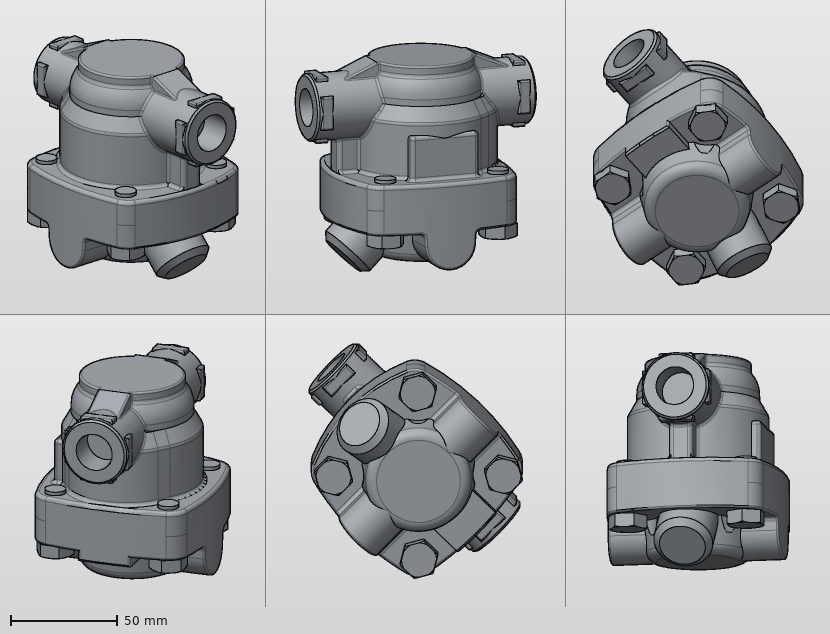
import cadquery as cq
import math


TOLERANCE = 0.1

PIPE_RADIUS = 16.0
PIPE_LENGTH = 110.0
PIPE_CENTER_X = 2.5
PIPE_CHAMFER = 1.0
BORE_RADIUS = 9.0
BORE_DEPTH = 15.5
PIPE_LEFT = PIPE_CENTER_X - PIPE_LENGTH / 2
PIPE_RIGHT = PIPE_CENTER_X + PIPE_LENGTH / 2

PAD_LENGTH = 6.0
PAD_WIDTH = 16.0
PAD_THICKNESS = 5.0
PAD_LEFT_X = -46.5
PAD_RIGHT_X = 52.5
PAD_FILLET = 0.8

TOP_Z = 21.0
CAP_RADIUS = 25.0
CAP_BOTTOM_Z = 17.0
CAP_FILLET = 1.0
BULGE_RADIUS = 29.0
BULGE_TOP_RADIUS = 25.7
BULGE_TOP_Z = 15.0
BULGE_EQUATOR_Z = 5.8

BARREL_RADIUS = 33.4
BARREL_NOSE_X = -36.6
NOSE_FLAT_ANGLE = 52.0
SHOULDER_Z = -5.0
SHOULDER_ANGLE = 30.0
SHOULDER_FILLET = 3.0
PIPE_BLEND = 1.5

RAMP_WIDTH = 16.4
RAMP_ANGLE = 23.0
RAMP_LENGTH = 22.0
RAMP_FILLET = 1.0
RAMP_CORNER_FILLET = 0.8

FLANGE_TOP_Z = -32.0
JOINT_Z = -44.0
COVER_BOTTOM_Z = -56.2
FLANGE_HALF_WIDTH = 41.5
FLANGE_LEFT_X = -39.5
FLANGE_RIGHT_X = 45.3
FLANGE_SIDE_ARC = 125.0
FLANGE_LEFT_ARC = 160.0
FLANGE_RIGHT_ARC = 80.0
FLANGE_CORNER = 10.0
FLANGE_TOP_FILLET = 2.0
BASE_FILLET = 1.8
FOOT_MARGIN = 1.9
FOOT_DEPTH = 2.0
BASE_HEIGHT = 5.0

PLATE_WIDTH = 34.0
PLATE_TOP_Z = -10.3
PLATE_FILLET = 1.9
RIB_WIDTH = 11.2
RIB_TOP_Z = -12.0
RIB_END_X = 43.6
RIB_CORNER_FILLET = 2.2

BOLT_CIRCLE_RADIUS = 40.0
BOLT_COUNT = 4
BOLT_START_ANGLE = 45.0
STUD_RADIUS = 5.0
STUD_TOP_Z = -30.3
HEX_FLATS = 16.0
HEX_HEIGHT = 6.4
HEX_CHAMFER = 0.5
BOLT_CLEARANCE_RADIUS = 14.3
BOLT_CLEARANCE_DEPTH = 7.5

BOWL_BOTTOM_Z = -74.2
BOWL_TOP_RADIUS = 27.0
BOWL_DRAFT = 9.0
BOWL_FILLET = 5.2

LOBE_RADIUS = 12.6
LOBE_DRAFT = 4.0
LOBE_ROOT_FILLET = 2.0
TAB_WIDTH = 26.0
TAB_BOTTOM_Z = -61.0
COVER_EDGE_FILLET = 1.0

DRAIN_RADIUS = 14.0
DRAIN_CHAMFER = 3.1
DRAIN_ANGLE = 45.0
DRAIN_END_X = 38.9
DRAIN_END_Z = -73.07
DRAIN_LENGTH = 38.0


def flange_corner(apex_x, arc_radius):
    """Crossing of the +Y side arc with an end arc that bulges to apex_x on the X axis."""
    end_center_x = apex_x - math.copysign(arc_radius, apex_x)
    side_center_y = FLANGE_HALF_WIDTH - FLANGE_SIDE_ARC
    distance = math.hypot(end_center_x, side_center_y)
    along = (distance ** 2 + FLANGE_SIDE_ARC ** 2 - arc_radius ** 2) / (2 * distance)
    across = math.copysign(math.sqrt(FLANGE_SIDE_ARC ** 2 - along ** 2), apex_x)
    unit_x = end_center_x / distance
    unit_y = -side_center_y / distance
    return along * unit_x + across * unit_y, side_center_y + along * unit_y - across * unit_x


def flange_outline(z):
    """Closed outline of four bowed sides at height z."""
    left_x, left_y = flange_corner(FLANGE_LEFT_X, FLANGE_LEFT_ARC)
    right_x, right_y = flange_corner(FLANGE_RIGHT_X, FLANGE_RIGHT_ARC)
    return (
        cq.Workplane("XY", origin=(0, 0, z))
        .moveTo(left_x, left_y)
        .threePointArc((0, FLANGE_HALF_WIDTH), (right_x, right_y))
        .threePointArc((FLANGE_RIGHT_X, 0), (right_x, -right_y))
        .threePointArc((0, -FLANGE_HALF_WIDTH), (left_x, -left_y))
        .threePointArc((FLANGE_LEFT_X, 0), (left_x, left_y))
        .close()
    )


def flange_prism(bottom_z, top_z):
    """Flange-shaped block with rounded corners."""
    return flange_outline(bottom_z).extrude(top_z - bottom_z).edges("|Z").fillet(FLANGE_CORNER)


def barrel_outline(z):
    """Round wall on +X, tangent flats and a tighter round nose on -X."""
    lean = math.cos(math.radians(NOSE_FLAT_ANGLE))
    nose_radius = (BARREL_RADIUS / lean + BARREL_NOSE_X) / (1 / lean - 1)
    nose_center_x = BARREL_NOSE_X + nose_radius
    rise = math.sin(math.radians(NOSE_FLAT_ANGLE))
    wall_x, wall_y = -BARREL_RADIUS * lean, BARREL_RADIUS * rise
    nose_x, nose_y = nose_center_x - nose_radius * lean, nose_radius * rise
    return (
        cq.Workplane("XY", origin=(0, 0, z))
        .moveTo(wall_x, wall_y)
        .threePointArc((BARREL_RADIUS, 0), (wall_x, -wall_y))
        .lineTo(nose_x, -nose_y)
        .threePointArc((BARREL_NOSE_X, 0), (nose_x, nose_y))
        .close()
    )


def make_barrel():
    shoulder_height = (BARREL_RADIUS - BULGE_RADIUS) / math.tan(math.radians(SHOULDER_ANGLE))
    wall = barrel_outline(FLANGE_TOP_Z).extrude(SHOULDER_Z - FLANGE_TOP_Z)
    shoulder = barrel_outline(SHOULDER_Z).extrude(shoulder_height, taper=SHOULDER_ANGLE)
    barrel = wall.union(shoulder)
    shoulder_level = cq.selectors.BoxSelector(
        (-PIPE_LENGTH, -PIPE_LENGTH, SHOULDER_Z - TOLERANCE),
        (PIPE_LENGTH, PIPE_LENGTH, SHOULDER_Z + TOLERANCE))
    return barrel.edges(shoulder_level).fillet(SHOULDER_FILLET)


def make_dome():
    """Turned cap and bulge standing on the barrel shoulder."""
    step = BULGE_TOP_RADIUS - CAP_RADIUS
    drop = CAP_BOTTOM_Z - BULGE_TOP_Z
    neck_radius = (drop ** 2 + step ** 2) / (2 * step)
    neck_half_angle = math.asin(drop / neck_radius) / 2
    neck_mid = (
        CAP_RADIUS + neck_radius * (1 - math.cos(neck_half_angle)),
        CAP_BOTTOM_Z - neck_radius * math.sin(neck_half_angle),
    )
    rise = BULGE_TOP_Z - BULGE_EQUATOR_Z
    inset = BULGE_RADIUS - BULGE_TOP_RADIUS
    bulge_arc = (rise ** 2 + inset ** 2) / (2 * inset)
    bulge_half_angle = math.asin(rise / bulge_arc) / 2
    bulge_mid = (
        BULGE_RADIUS - bulge_arc * (1 - math.cos(bulge_half_angle)),
        BULGE_EQUATOR_Z + bulge_arc * math.sin(bulge_half_angle),
    )
    dome = (
        cq.Workplane("XZ")
        .moveTo(0, TOP_Z)
        .lineTo(CAP_RADIUS, TOP_Z)
        .lineTo(CAP_RADIUS, CAP_BOTTOM_Z)
        .threePointArc(neck_mid, (BULGE_TOP_RADIUS, BULGE_TOP_Z))
        .threePointArc(bulge_mid, (BULGE_RADIUS, BULGE_EQUATOR_Z))
        .lineTo(BULGE_RADIUS, SHOULDER_Z)
        .lineTo(0, SHOULDER_Z)
        .close()
        .revolve(360, (0, 0, 0), (0, 1, 0))
    )
    return dome.faces(">Z").edges().fillet(CAP_FILLET)


def make_pipe():
    return (
        cq.Workplane("YZ", origin=(PIPE_LEFT, 0, 0))
        .circle(PIPE_RADIUS)
        .extrude(PIPE_LENGTH)
        .faces("<X or >X")
        .chamfer(PIPE_CHAMFER)
    )


def make_pads():
    """Four flat pads tangent to the pipe at each end."""
    pad = (
        cq.Workplane("XY")
        .box(PAD_LENGTH, PAD_WIDTH, PAD_THICKNESS)
        .faces(">Z")
        .edges()
        .fillet(PAD_FILLET)
        .translate((0, 0, PIPE_RADIUS - PAD_THICKNESS / 2))
    )
    pads = cq.Workplane("XY")
    for center_x in (PAD_LEFT_X, PAD_RIGHT_X):
        for turn in range(4):
            placed = pad.rotate((0, 0, 0), (1, 0, 0), 90 * turn).translate((center_x, 0, 0))
            pads = pads.add(placed)
    return pads.combine()


def make_ramps():
    slope = cq.Vector(math.cos(math.radians(RAMP_ANGLE)), 0, -math.sin(math.radians(RAMP_ANGLE)))
    drop = RAMP_LENGTH * math.tan(math.radians(RAMP_ANGLE))
    ramp = (
        cq.Workplane("XZ")
        .moveTo(0, TOP_Z)
        .lineTo(CAP_RADIUS, TOP_Z)
        .lineTo(CAP_RADIUS + RAMP_LENGTH, TOP_Z - drop)
        .lineTo(0, TOP_Z - drop)
        .close()
        .extrude(RAMP_WIDTH / 2, both=True)
    )
    long_edges = cq.selectors.ParallelDirSelector(slope) + cq.selectors.StringSyntaxSelector("|X and >Z")
    ramp = ramp.edges(long_edges).fillet(RAMP_FILLET)
    return ramp.union(ramp.mirror("YZ"))


def make_flange():
    flange = flange_prism(JOINT_Z, FLANGE_TOP_Z)
    return flange.faces(">Z").edges().fillet(FLANGE_TOP_FILLET)


def make_foot_limit(flange):
    """Tall prism over the flat top of the flange, which the base fillets may not overhang."""
    flat_top = flange.faces(">Z").wires().toPending()
    return flat_top.extrude(TOP_Z - FLANGE_TOP_Z, combine=False).union(flange)


def with_base_fillet(wall, foot):
    """Wall standing on a slightly wider foot, with a concave fillet where they meet."""
    standing = wall.union(foot)
    level = cq.selectors.BoxSelector(
        (-PIPE_LENGTH, -PIPE_LENGTH, FLANGE_TOP_Z - TOLERANCE),
        (PIPE_LENGTH, PIPE_LENGTH, FLANGE_TOP_Z + TOLERANCE))
    rim = foot.faces(">Z").edges().vals()
    inner = [
        edge for edge in standing.edges(level).vals()
        if all((edge.Center() - outer.Center()).Length > TOLERANCE for outer in rim)
    ]
    return standing.newObject(inner).fillet(BASE_FILLET)


def box_foot(wall):
    """Foot under a box-shaped wall, wider by the margin on every side."""
    box = wall.val().BoundingBox()
    return (
        cq.Workplane("XY", origin=(box.center.x, box.center.y, FLANGE_TOP_Z - FOOT_DEPTH))
        .rect(box.xlen + 2 * FOOT_MARGIN, box.ylen + 2 * FOOT_MARGIN)
        .extrude(FOOT_DEPTH)
    )


def make_back_plate():
    half_width = PLATE_WIDTH / 2
    return (
        cq.Workplane("XY", origin=(-half_width, 0, FLANGE_TOP_Z))
        .box(PLATE_WIDTH, BARREL_RADIUS, PLATE_TOP_Z - FLANGE_TOP_Z, centered=False)
        .edges("(|Z and >Y) or >Z")
        .fillet(PLATE_FILLET)
    )


def make_outlet_rib():
    return (
        cq.Workplane("XY", origin=(0, -RIB_WIDTH / 2, FLANGE_TOP_Z))
        .box(RIB_END_X, RIB_WIDTH, RIB_TOP_Z - FLANGE_TOP_Z, centered=False)
        .edges(">X and |Z")
        .fillet(RIB_CORNER_FILLET)
    )


def make_bolt():
    """Stud along Z with a hexagonal head below the cover, at the origin."""
    corner_radius = HEX_FLATS / math.sqrt(3)
    head_bottom_z = COVER_BOTTOM_Z - HEX_HEIGHT
    stud = (
        cq.Workplane("XY", origin=(0, 0, COVER_BOTTOM_Z))
        .circle(STUD_RADIUS)
        .extrude(STUD_TOP_Z - COVER_BOTTOM_Z)
    )
    envelope = (
        cq.Workplane("XY", origin=(0, 0, head_bottom_z))
        .circle(corner_radius)
        .extrude(HEX_HEIGHT)
        .faces("<Z")
        .chamfer(HEX_CHAMFER, 2 * HEX_CHAMFER)
    )
    head = (
        cq.Workplane("XY", origin=(0, 0, head_bottom_z))
        .polygon(6, 2 * corner_radius)
        .extrude(HEX_HEIGHT)
        .intersect(envelope)
    )
    return stud.union(head)


def around_bolt_circle(feature):
    """Copies of a feature at the bolt positions, each turned a quarter further."""
    offset = BOLT_CIRCLE_RADIUS * math.cos(math.radians(BOLT_START_ANGLE))
    copies = cq.Workplane("XY")
    for turn in range(BOLT_COUNT):
        placed = feature.translate((-offset, -offset, 0))
        copies = copies.add(placed.rotate((0, 0, 0), (0, 0, 1), turn * 360 / BOLT_COUNT))
    return copies.combine()


def make_bowl():
    bowl = (
        cq.Workplane("XY", origin=(0, 0, COVER_BOTTOM_Z))
        .circle(BOWL_TOP_RADIUS)
        .extrude(BOWL_BOTTOM_Z - COVER_BOTTOM_Z, taper=BOWL_DRAFT)
        .faces("<Z")
        .edges()
        .fillet(BOWL_FILLET)
    )
    clearance = (
        cq.Workplane("XY", origin=(0, 0, COVER_BOTTOM_Z))
        .circle(BOLT_CLEARANCE_RADIUS)
        .extrude(-BOLT_CLEARANCE_DEPTH)
    )
    return bowl.cut(around_bolt_circle(clearance))


def make_cover():
    """Cover plate with the lobe along Y and the tab on -X, trimmed to the flange outline."""
    lobe_center_z = BOWL_BOTTOM_Z + LOBE_RADIUS
    draft = math.radians(LOBE_DRAFT)
    tangent_x = LOBE_RADIUS * math.cos(draft)
    tangent_z = lobe_center_z - LOBE_RADIUS * math.sin(draft)
    top_x = tangent_x + (JOINT_Z - tangent_z) * math.tan(draft)
    lobe = (
        cq.Workplane("XZ")
        .moveTo(-top_x, JOINT_Z)
        .lineTo(-tangent_x, tangent_z)
        .threePointArc((0, BOWL_BOTTOM_Z), (tangent_x, tangent_z))
        .lineTo(top_x, JOINT_Z)
        .close()
        .extrude(2 * FLANGE_HALF_WIDTH, both=True)
    )
    tab_length = 2 * abs(FLANGE_LEFT_X)
    tab = (
        cq.Workplane("XY", origin=(-tab_length, -TAB_WIDTH / 2, TAB_BOTTOM_Z))
        .box(tab_length, TAB_WIDTH, JOINT_Z - TAB_BOTTOM_Z, centered=False)
    )
    plate_layer = (
        cq.Workplane("XY", origin=(0, 0, COVER_BOTTOM_Z))
        .rect(4 * FLANGE_HALF_WIDTH, 4 * FLANGE_HALF_WIDTH)
        .extrude(JOINT_Z - COVER_BOTTOM_Z)
    )
    root_level = cq.selectors.BoxSelector(
        (-top_x, -TOLERANCE, COVER_BOTTOM_Z - TOLERANCE), (top_x, TOLERANCE, COVER_BOTTOM_Z + TOLERANCE))
    envelope = plate_layer.union(lobe).edges(root_level).fillet(LOBE_ROOT_FILLET).union(tab)
    cover = flange_prism(BOWL_BOTTOM_Z, JOINT_Z).intersect(envelope)
    rim = []
    for wall in cover.faces("not |Z").vals():
        if wall.BoundingBox().zmax > JOINT_Z - TOLERANCE:
            rim += [edge for edge in wall.Edges() if edge.BoundingBox().zmax < JOINT_Z - TOLERANCE]
    return cover.newObject(rim).fillet(COVER_EDGE_FILLET)


def make_drain():
    axis = cq.Vector(math.cos(math.radians(DRAIN_ANGLE)), 0, -math.sin(math.radians(DRAIN_ANGLE)))
    end = cq.Vector(DRAIN_END_X, 0, DRAIN_END_Z)
    plane = cq.Plane(origin=(end - axis * DRAIN_LENGTH).toTuple(), xDir=(0, 1, 0), normal=axis.toTuple())
    return (
        cq.Workplane(plane)
        .circle(DRAIN_RADIUS)
        .extrude(DRAIN_LENGTH)
        .faces(cq.selectors.DirectionMinMaxSelector(axis))
        .chamfer(DRAIN_CHAMFER)
    )


def make_bores():
    left = cq.Workplane("YZ", origin=(PIPE_LEFT, 0, 0)).circle(BORE_RADIUS).extrude(BORE_DEPTH)
    right = cq.Workplane("YZ", origin=(PIPE_RIGHT, 0, 0)).circle(BORE_RADIUS).extrude(-BORE_DEPTH)
    return left.union(right)


def blend_pipe_and_rib(casting):
    """Round the inside corners along the pipe surface and down the root of the outlet rib."""
    def on_pipe(edge):
        points = [edge.positionAt(fraction) for fraction in (0, 0.5, 1)]
        touches = all(abs(math.hypot(point.y, point.z) - PIPE_RADIUS) < TOLERANCE for point in points)
        center = edge.Center()
        is_seam = edge.geomType() == "LINE" and abs(center.z) < TOLERANCE
        inside_ends = PAD_LEFT_X < center.x < PAD_RIGHT_X
        return touches and inside_ends and not is_seam

    meeting_edges = [edge for edge in casting.edges().vals() if on_pipe(edge)]
    rib_root = cq.selectors.BoxSelector(
        (0, -RIB_WIDTH, FLANGE_TOP_Z), (BARREL_RADIUS, RIB_WIDTH, -PIPE_RADIUS))
    meeting_edges += casting.edges("|Z").edges(rib_root).vals()
    return casting.newObject(meeting_edges).fillet(PIPE_BLEND)


def blend_ramp_corners(casting):
    """Round the upright inside corners between the ramps and the cap."""
    cap_zone = cq.selectors.BoxSelector(
        (-CAP_RADIUS, -RAMP_WIDTH / 2 - TOLERANCE, CAP_BOTTOM_Z),
        (CAP_RADIUS, RAMP_WIDTH / 2 + TOLERANCE, TOP_Z))
    return casting.edges("|Z").edges(cap_zone).fillet(RAMP_CORNER_FILLET)


def make_casting():
    """Pipe, barrel, dome and flange with all their blends."""
    casting = make_barrel().union(make_dome()).union(make_pipe()).union(make_outlet_rib())
    casting = blend_pipe_and_rib(casting)
    casting = blend_ramp_corners(casting.union(make_ramps()))
    flange = make_flange()
    casting = casting.union(make_back_plate()).union(flange)

    barrel_base = barrel_outline(FLANGE_TOP_Z).extrude(BASE_HEIGHT)
    barrel_foot = (
        barrel_outline(FLANGE_TOP_Z - FOOT_DEPTH)
        .offset2D(FOOT_MARGIN)
        .extrude(FOOT_DEPTH)
    )
    bases = [with_base_fillet(barrel_base, barrel_foot)]
    for wall in (make_back_plate(), make_outlet_rib()):
        bases.append(with_base_fillet(wall, box_foot(wall)))
    limit = make_foot_limit(flange)
    for base in bases:
        casting = casting.union(base.intersect(limit))
    return casting


result = make_casting()
for part in (make_cover(), make_bowl(), make_drain(), around_bolt_circle(make_bolt()), make_pads()):
    result = result.union(part)
result = result.cut(make_bores())